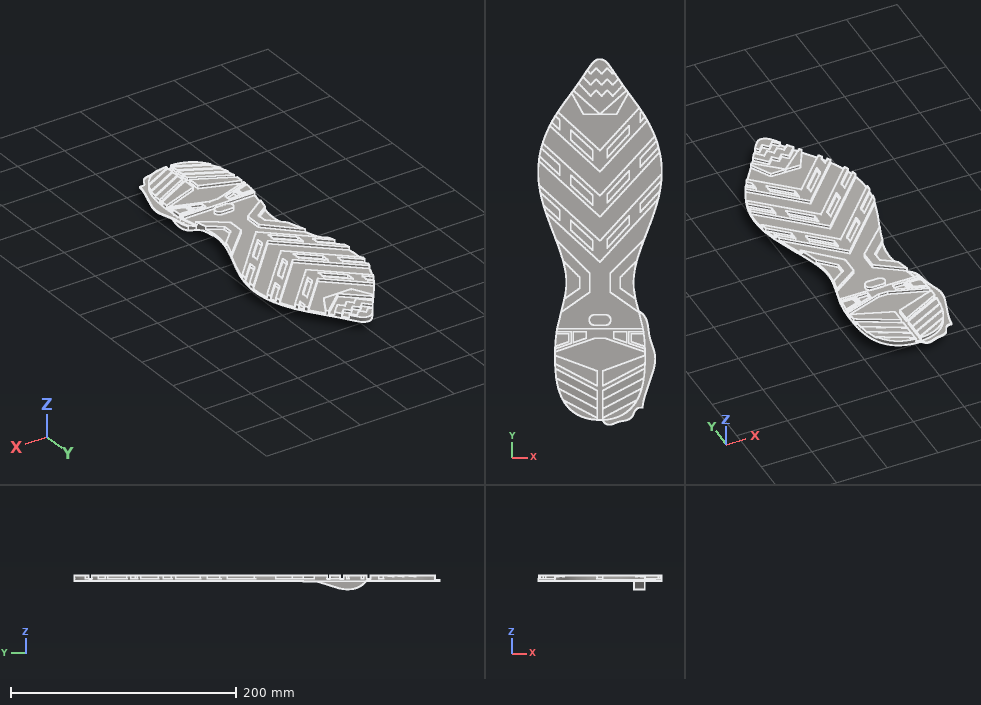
import cadquery as cq
import math


PLATE_THICKNESS = 2.0
TREAD_HEIGHT = 3.0
TOP_Z = PLATE_THICKNESS + TREAD_HEIGHT
FLANGE_THICKNESS = 1.0
RIB_DEPTH = 7.54

TOE_Y = 199.6
HEEL_Y = -120.9
SOLE_EDGE = [
    (4.6, 197.9),
    (8.4, 193.8),
    (17.8, 180.0),
    (40.0, 148.7),
    (51.5, 123.3),
    (54.97, 101.7),
    (52.5, 78.3),
    (39.1, 39.1),
    (31.6, 15.7),
    (29.9, 0.0),
    (34.2, -23.5),
    (38.7, -43.0),
    (40.1, -64.6),
    (38.2, -88.1),
    (31.3, -105.7),
    (21.3, -115.4),
]
FAR = 70.0
MARGIN = 2.0

FLANGE_START = (29.4, -22.5)
FLANGE_SIDE = [(41.1, -31.3), (44.2, -47.0), (48.9, -63.1), (43.6, -88.1)]
FLANGE_CORNER = (37.7, -110.1)
FLANGE_REAR = [(31.3, -112.5), (28.9, -117.4), (24.5, -120.8), (16.6, -122.5), (8.8, -125.19)]
FLANGE_INNER_X = 2.3
FLANGE_INNER_Y = -68.0

RIB_X = (30.0, 39.9)
RIB_FRONT_Y = -3.9
RIB_LIP_END_Y = -16.6
RIB_LIP_DEPTH = 0.7
RIB_RAMP_END_Y = -36.0
RIB_RAMP_END_DEPTH = 6.6
RIB_CREST = [(-43.0, -RIB_DEPTH), (-49.0, -6.9)]
RIB_REAR_Y = -59.7

ZIGZAG_X = 1.5
ZIGZAG_HALF_PITCH = 4.9
ZIGZAG_DEPTH = 5.2
ZIGZAG_SPACING = 9.8
FIRST_ZIGZAG_Y = 186.4
TOE_BLOCK_BASE_Y = 150.4
TOE_BLOCK_BASE_X = 14.6
TOE_BLOCK_SIDE_SLOPE = 1.8
TOE_V_APEX_Y = 150.7
TOE_V_SLOPE = 0.89

CHEVRON_COUNT = 3
CHEVRON_PITCH = 40.1
CHEVRON_WIDTH = 18.8
REAR_CHEVRON_Y = 38.2
LEFT_SLOPE = 0.915
RIGHT_SLOPE = 1.085
LEFT_SLOT_OFFSET = 5.5
LEFT_SLOT_WIDTH = 8.7
RIGHT_SLOT_OFFSET = 5.9
RIGHT_SLOT_WIDTH = 7.4
SLOT_INNER_X = 6.3
SLOT_OUTER_X = 25.9
EDGE_SLOT_X = 35.6

BAND_INNER_X = 9.3
BAND_INNER_Y = (9.6, -7.5)
BAND_OUTER_X = 18.1
BAND_OUTER_Y = (5.9, -3.9)
BAND_FRONT_SLOPE = 1.0
BAND_REAR_SLOPE = 0.7

STUD_Y = -32.0
STUD_LENGTH = 19.2
STUD_WIDTH = 9.2

HEEL_FRONT_Y = -39.6
ARCH_Y = -48.2
ARCH_FLAT_X = 4.4
ARCH_SLOPE = 0.341
RIM = 2.7
GROOVE_WIDTH = 2.1
GROOVE_X = 25.7
POCKET_X = (12.4, 23.9)

CHANNEL_HALF_WIDTH = 2.45
DIAMOND_REAR_Y = -77.3
DIAMOND_SLOPE = 0.369
STRIPE_SLOPE = 0.525
HEEL_BAR_REAR_Y = -90.5
RAMP_FRONT_Y = -94.7
RAMP_COUNT = 3
RAMP_PITCH = 8.1
RAMP_DROP = 1.0


def sole_prism(height):
    """Sole outline extruded upward from the underside."""
    left_edge = [(-x, y) for x, y in reversed(SOLE_EDGE)]
    outline = [(0, TOE_Y)] + SOLE_EDGE + [(0, HEEL_Y)] + left_edge
    return cq.Workplane("XY").spline(outline, periodic=True).close().extrude(height)


def flange_prism(bottom, top):
    """Flange outline extruded between two heights."""
    return (
        cq.Workplane("XY", origin=(0, 0, bottom))
        .moveTo(*FLANGE_START)
        .spline(FLANGE_SIDE + [FLANGE_CORNER], includeCurrent=True)
        .spline(FLANGE_REAR + [(FLANGE_INNER_X, HEEL_Y)], includeCurrent=True)
        .lineTo(FLANGE_INNER_X, FLANGE_INNER_Y)
        .close()
        .extrude(top - bottom)
    )


def arch_rib():
    """Humped rib below the plate."""
    x_start, x_end = RIB_X
    return (
        cq.Workplane("YZ", origin=(x_start, 0, 0))
        .moveTo(RIB_FRONT_Y, FLANGE_THICKNESS)
        .lineTo(RIB_FRONT_Y, -RIB_LIP_DEPTH)
        .lineTo(RIB_LIP_END_Y, -RIB_LIP_DEPTH)
        .lineTo(RIB_RAMP_END_Y, -RIB_RAMP_END_DEPTH)
        .spline(RIB_CREST + [(RIB_REAR_Y, 0)], includeCurrent=True)
        .lineTo(RIB_REAR_Y, FLANGE_THICKNESS)
        .close()
        .extrude(x_end - x_start)
    )


def block(points):
    """Tread-height prism standing on the plate."""
    return cq.Workplane("XY", origin=(0, 0, PLATE_THICKNESS)).polyline(points).close().extrude(TREAD_HEIGHT)


def mirrored(shape):
    """The shape together with its reflection across the long axis."""
    return shape.union(shape.mirror("YZ"))


def zigzag(valley_y):
    """Points of a zigzag line of three valleys and two peaks, its ends running straight off both sides."""
    peak_y = valley_y + ZIGZAG_DEPTH
    end_y = valley_y + ZIGZAG_DEPTH * FAR / ZIGZAG_HALF_PITCH
    offsets = [
        (-2 * ZIGZAG_HALF_PITCH - FAR, end_y),
        (-2 * ZIGZAG_HALF_PITCH, valley_y),
        (-ZIGZAG_HALF_PITCH, peak_y),
        (0, valley_y),
        (ZIGZAG_HALF_PITCH, peak_y),
        (2 * ZIGZAG_HALF_PITCH, valley_y),
        (2 * ZIGZAG_HALF_PITCH + FAR, end_y),
    ]
    return [(ZIGZAG_X + x, y) for x, y in offsets]


def toe_tip():
    """Block in front of the first zigzag."""
    return block(zigzag(FIRST_ZIGZAG_Y))


def toe_zigzag_bar():
    """Bar between the second and third zigzags."""
    front = zigzag(FIRST_ZIGZAG_Y - ZIGZAG_SPACING)
    rear = zigzag(FIRST_ZIGZAG_Y - 2 * ZIGZAG_SPACING)
    return block(front + rear[::-1])


def toe_block():
    """Flared block with a V cut down to its base."""
    v_end_y = TOE_V_APEX_Y + TOE_V_SLOPE * FAR
    side_end_y = TOE_BLOCK_BASE_Y + TOE_BLOCK_SIDE_SLOPE * (FAR - TOE_BLOCK_BASE_X)
    flare = block(
        [
            (-TOE_BLOCK_BASE_X, TOE_BLOCK_BASE_Y),
            (TOE_BLOCK_BASE_X, TOE_BLOCK_BASE_Y),
            (FAR, side_end_y),
            (-FAR, side_end_y),
        ]
    )
    v_cut = block([(0, TOE_V_APEX_Y), (FAR, v_end_y), (FAR, side_end_y), (-FAR, side_end_y), (-FAR, v_end_y)])
    return flare.cut(v_cut)


def slanted_slot(x_start, x_end, apex_y, slope, width):
    """Slot with upright ends, rising away from the axis; its front side meets X = 0 at apex_y."""
    y_start = apex_y + slope * abs(x_start)
    y_end = apex_y + slope * abs(x_end)
    return block([(x_start, y_start), (x_end, y_end), (x_end, y_end - width), (x_start, y_start - width)])


def chevron(apex_y):
    """V-shaped bar with an inner slot and an edge slot through each arm."""
    left_rise = LEFT_SLOPE * FAR
    right_rise = RIGHT_SLOPE * FAR
    rear_y = apex_y - CHEVRON_WIDTH
    bar = block(
        [
            (-FAR, apex_y + left_rise),
            (0, apex_y),
            (FAR, apex_y + right_rise),
            (FAR, rear_y + right_rise),
            (0, rear_y),
            (-FAR, rear_y + left_rise),
        ]
    )
    for x_start, x_end in ((SLOT_INNER_X, SLOT_OUTER_X), (EDGE_SLOT_X, FAR)):
        left_slot = slanted_slot(-x_start, -x_end, apex_y - LEFT_SLOT_OFFSET, LEFT_SLOPE, LEFT_SLOT_WIDTH)
        right_slot = slanted_slot(x_start, x_end, apex_y - RIGHT_SLOT_OFFSET, RIGHT_SLOPE, RIGHT_SLOT_WIDTH)
        bar = bar.cut(left_slot).cut(right_slot)
    return bar


def band_side(x, front_y, rear_y):
    """One side of a midfoot band, from its front end to its rear end."""
    return [
        (FAR, front_y + BAND_FRONT_SLOPE * (FAR - x)),
        (x, front_y),
        (x, rear_y),
        (FAR, rear_y - BAND_REAR_SLOPE * (FAR - x)),
    ]


def midfoot_bands():
    """Pair of C-shaped bands opening towards the sides."""
    inner = band_side(BAND_INNER_X, *BAND_INNER_Y)
    outer = band_side(BAND_OUTER_X, *BAND_OUTER_Y)
    return mirrored(block(inner + outer[::-1]))


def oval_stud():
    """Raised oval in front of the heel."""
    return (
        cq.Workplane("XY", origin=(0, STUD_Y, PLATE_THICKNESS))
        .slot2D(STUD_LENGTH, STUD_WIDTH)
        .extrude(TREAD_HEIGHT)
    )


def arch_y(x, offset=0.0):
    """Y of the sloping heel arch at x, moved forward by offset."""
    return ARCH_Y - ARCH_SLOPE * (x - ARCH_FLAT_X) + offset


def area_ahead_of_arch(x_start, x_end, front_y, offset):
    """Block from a straight front edge back to a line parallel to the arch."""
    return block(
        [
            (x_start, front_y),
            (x_end, front_y),
            (x_end, arch_y(x_end, offset)),
            (x_start, arch_y(x_start, offset)),
        ]
    )


def heel_front_block():
    """Arched block with a pocket and a bent groove on each side."""
    half_body = block(
        [
            (0, HEEL_FRONT_Y),
            (FAR, HEEL_FRONT_Y),
            (FAR, arch_y(FAR)),
            (ARCH_FLAT_X, ARCH_Y),
            (0, ARCH_Y),
        ]
    )
    front_y = HEEL_FRONT_Y - RIM
    pocket = area_ahead_of_arch(*POCKET_X, front_y, RIM)
    groove = area_ahead_of_arch(GROOVE_X, FAR, front_y, RIM)
    island = area_ahead_of_arch(GROOVE_X + GROOVE_WIDTH, FAR, front_y - GROOVE_WIDTH, RIM + GROOVE_WIDTH)
    return mirrored(half_body.cut(pocket).cut(groove).union(island))


def heel_bar():
    """Tapering bar on each side behind the open diamond."""
    reach = FAR - CHANNEL_HALF_WIDTH
    bar = block(
        [
            (CHANNEL_HALF_WIDTH, DIAMOND_REAR_Y),
            (FAR, DIAMOND_REAR_Y + DIAMOND_SLOPE * reach),
            (FAR, HEEL_BAR_REAR_Y + STRIPE_SLOPE * reach),
            (CHANNEL_HALF_WIDTH, HEEL_BAR_REAR_Y),
        ]
    )
    return mirrored(bar)


def ramp_cut(front_y):
    """Wedge that slopes the top down to the rear, starting at front_y beside the channel."""
    angle = math.atan(STRIPE_SLOPE)
    along_stripe = (-math.cos(angle), -math.sin(angle), 0)
    rearward = (math.sin(angle), -math.cos(angle), 0)
    length = RAMP_PITCH * math.cos(angle)
    plane = cq.Plane(origin=(CHANNEL_HALF_WIDTH, front_y, TOP_Z), xDir=rearward, normal=along_stripe)
    profile = cq.Workplane(plane).polyline([(0, 0), (length, -RAMP_DROP), (length, 0)]).close()
    return profile.extrude(FAR, both=True)


def heel_ramps():
    """Rear heel blocks with saw-tooth ramps in front of a flat end."""
    reach = FAR - CHANNEL_HALF_WIDTH
    body = block(
        [
            (CHANNEL_HALF_WIDTH, RAMP_FRONT_Y),
            (FAR, RAMP_FRONT_Y + STRIPE_SLOPE * reach),
            (FAR, HEEL_Y),
            (CHANNEL_HALF_WIDTH, HEEL_Y),
        ]
    )
    for i in range(RAMP_COUNT):
        body = body.cut(ramp_cut(RAMP_FRONT_Y - i * RAMP_PITCH))
    return mirrored(body)


treads = [toe_tip(), toe_zigzag_bar(), toe_block(), midfoot_bands(), oval_stud()]
treads += [heel_front_block(), heel_bar(), heel_ramps()]
treads += [chevron(REAR_CHEVRON_Y + i * CHEVRON_PITCH) for i in range(CHEVRON_COUNT)]

blank_rear = HEEL_Y - MARGIN
blank_front = TOE_Y + MARGIN
grooves = block([(-FAR, blank_rear), (FAR, blank_rear), (FAR, blank_front), (-FAR, blank_front)])
for tread in treads:
    grooves = grooves.cut(tread)
sole = sole_prism(TOP_Z).cut(grooves)

flange = flange_prism(0, FLANGE_THICKNESS)
rib_limit = sole_prism(RIB_DEPTH + FLANGE_THICKNESS).translate((0, 0, -RIB_DEPTH))
rib_limit = rib_limit.union(flange_prism(-RIB_DEPTH, FLANGE_THICKNESS))

result = sole.union(flange).union(arch_rib().intersect(rib_limit))